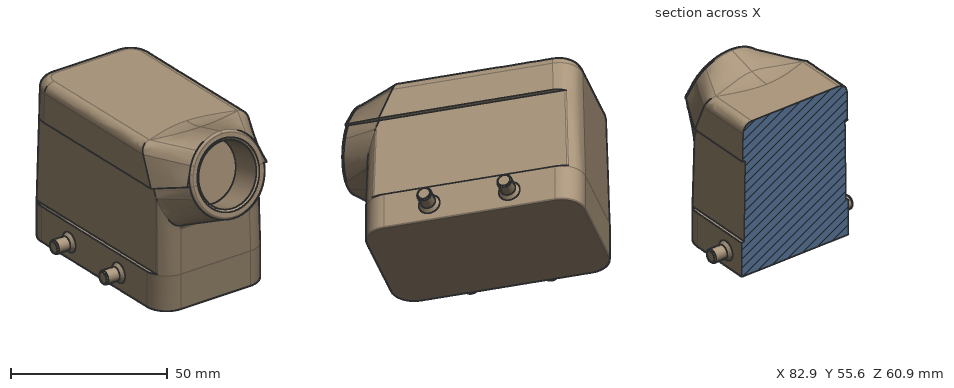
import cadquery as cq
import math

BODY_LENGTH = 72.5
BODY_WIDTH = 43.1
BODY_HEIGHT = 57.0
BELT_HEIGHT = 12.85
CORNER_RADIUS = 7.8
TOP_RADIUS = 3.6
RIM_RADIUS = 0.4
END_DRAFT = 1.5
SIDE_DRAFT = 0.8

RECESS_DEPTH = 1.0
RECESS_TOP = 43.0
LEDGE_RISE = 0.3
FLOOR_TOP = RECESS_TOP - LEDGE_RISE
RECESS_END_RADIUS = 1.0

PIN_SPACING = 26.6
PIN_HEIGHT = 6.15
PIN_SPAN = 55.6
PIN_DIAMETER = 4.8
PIN_TIP_DIAMETER = 4.0
PIN_TIP_LENGTH = 0.5
PIN_FOOT_DIAMETER = 7.0
PIN_FOOT_LENGTH = 1.3

NECK_TILT = 15.0
MOUTH_RADIUS = 14.6
MOUTH_X = 43.05
MOUTH_Z = 46.94
LIP_LENGTH = 0.9
LIP_EDGE_RADIUS = 0.8
CHEEK_HALF_WIDTH = 15.6
TOP_ARC_START = 48.0
CHEEK_START = 27.0
FLOOR_END_ANGLE = -18.0
MOUTH_BOTTOM_ANGLE = -75.0
BORE_DIAMETER = 22.5
BORE_DEPTH = 12.0
BORE_LEAD_RADIAL = 0.85
BORE_LEAD_DEPTH = 0.5
NECK_ROOT_RADIUS = 1.5
CROWN_BLEND_RADIUS = 30.0

ALL_CORNERS = "<X or >X"
TOUCH = 0.02
OVERLAP = 0.5
FAR = 100.0

tilt = math.radians(NECK_TILT)
end_slope = math.tan(math.radians(END_DRAFT))
side_slope = math.tan(math.radians(SIDE_DRAFT))
mouth_center = cq.Vector(MOUTH_X, 0, MOUTH_Z)
neck_axis = cq.Vector(math.cos(tilt), 0, math.sin(tilt))
lip_start = mouth_center - neck_axis * LIP_LENGTH
mouth_down = cq.Vector(math.sin(tilt), 0, -math.cos(tilt))


def half_length(z):
    return BODY_LENGTH / 2 - max(z - BELT_HEIGHT, 0) * end_slope


def half_width(z):
    return BODY_WIDTH / 2 - max(z - BELT_HEIGHT, 0) * side_slope


mouth_top = mouth_center - mouth_down * MOUTH_RADIUS
mouth_bottom = mouth_center + mouth_down * MOUTH_RADIUS
crease = cq.Vector(mouth_top.x - (mouth_top.z - BODY_HEIGHT) / math.tan(tilt), 0, BODY_HEIGHT)
wall_at_mouth_bottom = half_length(mouth_bottom.z)
root_drop = (mouth_bottom.x - wall_at_mouth_bottom) * math.tan(tilt) / (1 + end_slope * math.tan(tilt))
root = cq.Vector(half_length(mouth_bottom.z - root_drop), 0, mouth_bottom.z - root_drop)
base_down = (root - crease).normalized()
base_normal = cq.Vector(-base_down.z, 0, base_down.x)


def outline(z, rounded):
    """Body outline at the given height, with the chosen corners rounded."""
    return (
        cq.Sketch()
        .rect(2 * half_length(z), 2 * half_width(z))
        .vertices(rounded)
        .fillet(CORNER_RADIUS)
        .moved(cq.Location(cq.Vector(0, 0, z)))
    )


def drafted_block(bottom, rounded):
    sections = outline(bottom, rounded), outline(BODY_HEIGHT, rounded)
    block = cq.Workplane().placeSketch(*sections).loft(ruled=True)
    return block.faces(">Z").edges().fillet(TOP_RADIUS)


def make_body():
    belt = cq.Workplane().placeSketch(outline(0, ALL_CORNERS)).extrude(BELT_HEIGHT)
    belt = belt.faces("<Z").edges().fillet(RIM_RADIUS)
    upper = drafted_block(BELT_HEIGHT, ALL_CORNERS)
    neck_end = cq.Workplane().box(FAR, FAR, FAR).translate((FAR / 2, 0, 0))
    shoulder = drafted_block(FLOOR_TOP, "<X").intersect(neck_end)
    return belt.union(upper).union(shoulder)


def recess_cutter(side):
    floor_bottom = BELT_HEIGHT + LEDGE_RISE
    wall = BODY_WIDTH / 2
    profile = [
        (side * wall, BELT_HEIGHT),
        (side * (half_width(floor_bottom) - RECESS_DEPTH), floor_bottom),
        (side * (half_width(FLOOR_TOP) - RECESS_DEPTH), FLOOR_TOP),
        (side * half_width(RECESS_TOP), RECESS_TOP),
        (side * wall, RECESS_TOP),
    ]
    return cq.Workplane("YZ").polyline(profile).close().extrude(BODY_LENGTH / 2, both=True)


def corner_cutter():
    """Everything beyond the oblique plane."""
    plane = cq.Plane(origin=crease.toTuple(), xDir=(0, 1, 0), normal=base_normal.toTuple())
    return cq.Workplane(plane).rect(FAR, FAR).extrude(FAR)


def oblique_edges(body):
    """Edges of the body's oblique end on the +Y side, from the top round down to the lower corner."""
    oblique_face = body.faces(cq.selectors.ParallelDirSelector(base_normal)).val()
    edges = [edge for edge in oblique_face.Edges() if edge.Center().y > OVERLAP]
    forward_edges = [edge.trim(edge.paramAt(0), edge.paramAt(1)) for edge in edges]
    return sorted(forward_edges, key=lambda edge: -edge.Center().z)


def upper_and_lower_end(edge):
    return sorted((edge.startPoint(), edge.endPoint()), key=lambda point: -point.z)


def lip_point(degrees, radius=MOUTH_RADIUS):
    """Point of the mouth's outline where the neck meets the lip (degrees above the middle)."""
    angle = math.radians(degrees)
    across = cq.Vector(0, radius * math.cos(angle), 0)
    return lip_start + across - mouth_down * (radius * math.sin(angle))


def lip_arc(start, end):
    return cq.Edge.makeThreePointArc(lip_point(start), lip_point((start + end) / 2), lip_point(end))


def closed_face(edges):
    return cq.Face.makeFromWires(cq.Wire.assembleEdges(edges))


def neck_part(half_pairs):
    """Solid spanned by straight lines between paired body and lip edges, given on the +Y half."""
    pairs = half_pairs + [(base.mirror("XZ"), rim.mirror("XZ")) for base, rim in half_pairs]
    sides = [cq.Face.makeRuledSurface(base, rim) for base, rim in pairs]
    base_cap = closed_face([base for base, _ in pairs])
    rim_cap = closed_face([rim for _, rim in pairs])
    shell = cq.Shell.makeShell(sides + [base_cap, rim_cap])
    return cq.Workplane(cq.Solid.makeSolid(shell).fix())


def add_neck(body):
    line = cq.Edge.makeLine
    top_round, side, ledge, floor, corner = oblique_edges(body)
    round_start, _ = upper_and_lower_end(top_round)
    _, ledge_inner = upper_and_lower_end(ledge)
    _, corner_end = upper_and_lower_end(corner)
    cheek = lip_point(0, CHEEK_HALF_WIDTH)
    divider_middle = cq.Vector(ledge_inner.x, 0, ledge_inner.z)
    divider = (line(ledge_inner, divider_middle), line(lip_point(0), lip_start))

    upper = neck_part([
        (line(crease, round_start), lip_arc(90, TOP_ARC_START)),
        (top_round, lip_arc(TOP_ARC_START, CHEEK_START)),
        (line(*upper_and_lower_end(side)), line(lip_point(CHEEK_START), cheek)),
        (line(*upper_and_lower_end(ledge)), line(cheek, lip_point(0))),
        divider,
    ])
    lower = neck_part([
        divider,
        (line(*upper_and_lower_end(floor)), lip_arc(0, FLOOR_END_ANGLE)),
        (corner, lip_arc(FLOOR_END_ANGLE, MOUTH_BOTTOM_ANGLE)),
        (line(corner_end, root), lip_arc(MOUTH_BOTTOM_ANGLE, -90)),
    ])
    return body.union(upper).union(lower)


def make_lip():
    """Rounded rim of the mouth: a disc, widened by cheeks on its upper half."""
    outer_end = cq.selectors.DirectionMinMaxSelector(neck_axis)
    plane = cq.Plane(origin=lip_start.toTuple(), xDir=(0, 1, 0), normal=neck_axis.toTuple())
    disc = cq.Workplane(plane).circle(MOUTH_RADIUS).extrude(LIP_LENGTH)
    disc = disc.faces(outer_end).edges().fillet(LIP_EDGE_RADIUS)

    cheek = lip_point(0, CHEEK_HALF_WIDTH)
    half = [lip_arc(90, CHEEK_START), cq.Edge.makeLine(lip_point(CHEEK_START), cheek)]
    half.append(cq.Edge.makeLine(cheek, lip_start))
    cheek_face = closed_face(half + [edge.mirror("XZ") for edge in half])
    cheeks = cq.Workplane(cq.Solid.extrudeLinear(cheek_face, neck_axis * LIP_LENGTH))
    rim_edges = [
        edge
        for edge in cheeks.faces(outer_end).edges().vals()
        if edge.Center().z > MOUTH_Z + TOUCH
    ]
    cheeks = cheeks.newObject(rim_edges).fillet(LIP_EDGE_RADIUS)
    return disc.union(cheeks)


def edges_across(hood, point):
    """Edges that run along Y through the given point of the XZ plane."""
    found = []
    for edge in hood.edges("|Y").vals():
        offset = edge.Center() - point
        if math.hypot(offset.x, offset.z) < TOUCH:
            found.append(edge)
    return found


def round_crown(hood):
    """Wide blend where the neck rises from the body's top."""
    return hood.newObject(edges_across(hood, crease)).fillet(CROWN_BLEND_RADIUS)


def round_root(hood):
    """Tight fillet where the neck's underside meets the end wall."""
    return hood.newObject(edges_across(hood, root)).fillet(NECK_ROOT_RADIUS)


def round_recess_ends(hood):
    """Soften the steep edges where the recess floors run out into the rounded body corners."""
    x_limit = half_length(RECESS_TOP) - CORNER_RADIUS
    y_limit = half_width(RECESS_TOP) - 2 * RECESS_DEPTH
    ends = []
    for edge in hood.edges().vals():
        center = edge.Center()
        box = edge.BoundingBox()
        in_corner = abs(center.x) > x_limit and abs(center.y) > y_limit
        within_recess = box.zmin > BELT_HEIGHT and box.zmax < RECESS_TOP
        if in_corner and within_recess and box.zlen > box.ylen + CORNER_RADIUS:
            ends.append(edge)
    return hood.newObject(ends).fillet(RECESS_END_RADIUS)


def make_bore():
    """Blind cable bore with a short conical lead-in at the mouth."""
    plane = cq.Plane(origin=mouth_center.toTuple(), xDir=(0, 1, 0), normal=neck_axis.toTuple())
    radius = BORE_DIAMETER / 2
    bore = cq.Workplane(plane).circle(radius).extrude(-BORE_DEPTH)
    lead = cq.Solid.makeCone(radius + BORE_LEAD_RADIAL, radius, BORE_LEAD_DEPTH, mouth_center, -neck_axis)
    return bore.union(cq.Workplane(lead))


def make_pin(x, side):
    """Locking pin with a conical foot on the belt's wall and a chamfered tip."""
    wall = BODY_WIDTH / 2
    tip = PIN_SPAN / 2
    radius = PIN_DIAMETER / 2
    profile = [
        (0, wall - OVERLAP),
        (PIN_FOOT_DIAMETER / 2, wall - OVERLAP),
        (PIN_FOOT_DIAMETER / 2, wall),
        (radius, wall + PIN_FOOT_LENGTH),
        (radius, tip - PIN_TIP_LENGTH),
        (PIN_TIP_DIAMETER / 2, tip),
        (0, tip),
    ]
    pin = cq.Workplane("XY").polyline(profile).close().revolve(360, (0, 0), (0, 1))
    if side < 0:
        pin = pin.mirror("XZ")
    return pin.translate((x, 0, PIN_HEIGHT))


body = make_body()
for side in (1, -1):
    body = body.cut(recess_cutter(side))
body = body.cut(corner_cutter())
hood = round_crown(add_neck(body))
hood = round_root(round_recess_ends(hood))
hood = hood.union(make_lip()).cut(make_bore())
for side in (1, -1):
    for x in (-PIN_SPACING / 2, PIN_SPACING / 2):
        hood = hood.union(make_pin(x, side))
result = hood